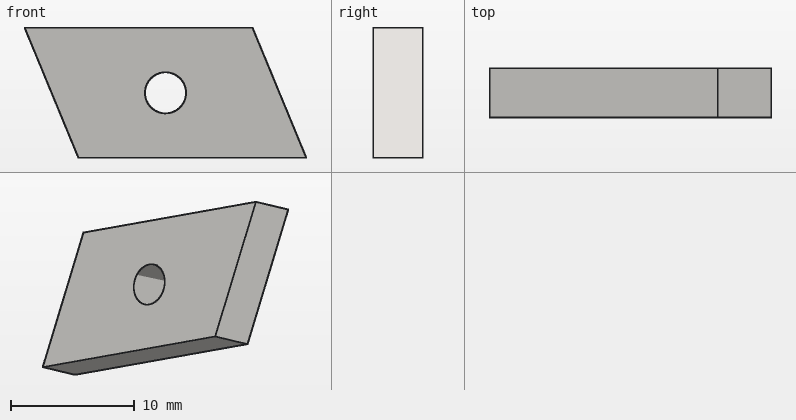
import cadquery as cq

length = 22.75
thickness = 4.0
height = 10.5

slant_shift = 4.35
hole_diameter = 3.3

half_length = length / 2
half_height = height / 2

outline = [
    (-half_length, half_height),
    (half_length - slant_shift, half_height),
    (half_length, -half_height),
    (-half_length + slant_shift, -half_height),
]

back_face = cq.Workplane("XZ", origin=(0, thickness / 2, 0))

plate = back_face.polyline(outline).close().extrude(thickness)

hole = back_face.circle(hole_diameter / 2).extrude(thickness)

result = plate.cut(hole)